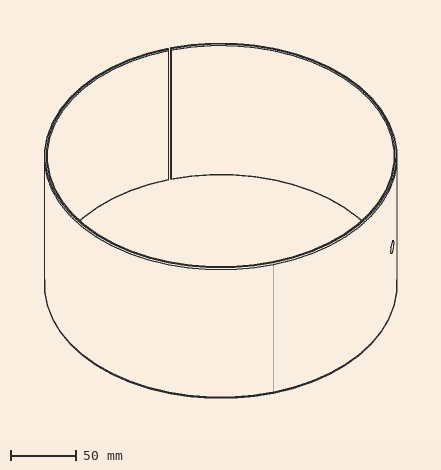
import cadquery as cq

outer_diameter = 270.0
wall = 2.5
height = 130.0
outer_bevel_height = 1.5
outer_bevel_depth = 0.5
inner_bevel = 0.8
split_width = 2.2
split_offset = 1.0
hole_diameter = 10.0
hole_angle = 59.0

outer_radius = outer_diameter / 2
inner_radius = outer_radius - wall
half_height = height / 2


def make_band():
    """Thin ring about Z, bevelled on both sides of its upper and lower rims."""
    rim_outer_radius = outer_radius - outer_bevel_depth
    rim_inner_radius = inner_radius + inner_bevel
    outer_bevel_level = half_height - outer_bevel_height
    inner_bevel_level = half_height - inner_bevel
    profile = [
        (rim_inner_radius, -half_height),
        (rim_outer_radius, -half_height),
        (outer_radius, -outer_bevel_level),
        (outer_radius, outer_bevel_level),
        (rim_outer_radius, half_height),
        (rim_inner_radius, half_height),
        (inner_radius, inner_bevel_level),
        (inner_radius, -inner_bevel_level),
    ]
    return cq.Workplane("XZ").polyline(profile).close().revolve(360, (0, 0), (0, 1))


def make_split():
    """Full-height slab that cuts the wall on the -X side."""
    slab = cq.Workplane("XY").box(outer_radius, split_width, height)
    return slab.translate((-outer_radius, split_offset, 0))


def make_hole():
    """Radial drill through one wall at mid height."""
    drill = cq.Workplane("YZ").circle(hole_diameter / 2).extrude(outer_diameter)
    return drill.rotate((0, 0, 0), (0, 0, 1), hole_angle)


result = make_band().cut(make_split()).cut(make_hole())